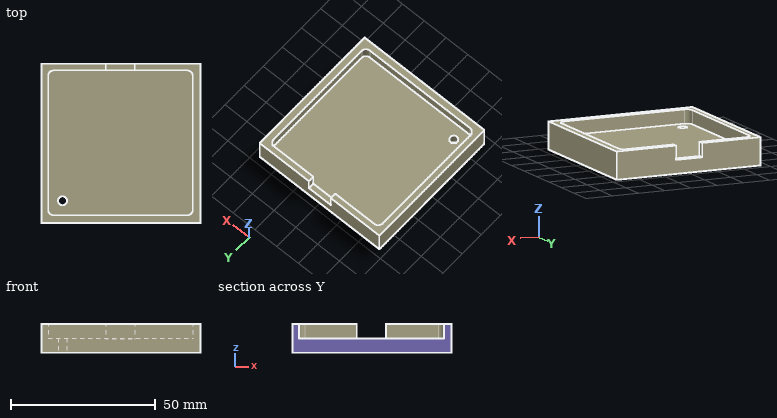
import cadquery as cq

side = 55.0
height = 10.0

wall = 2.3
opposite_wall = 2.7
pocket_depth = 5.0
corner_radius = 2.0
pocket_side = side - wall - opposite_wall
pocket_shift = (opposite_wall - wall) / 2
floor_height = height - pocket_depth

notch_width = 10.0
notch_step = 0.05
notch_depth = pocket_depth + notch_step

hole_diameter = 3.0
hole_inset = 5.0
hole_x = wall + hole_inset - side / 2
hole_y = opposite_wall + hole_inset - side / 2

tray = cq.Workplane("XY").box(side, side, height, centered=(True, True, False))

pocket = (
    cq.Workplane("XY")
    .workplane(offset=floor_height)
    .center(-pocket_shift, pocket_shift)
    .rect(pocket_side, pocket_side)
    .extrude(pocket_depth)
    .edges("|Z")
    .fillet(corner_radius)
)

notch = (
    cq.Workplane("XY")
    .workplane(offset=height - notch_depth)
    .center(-pocket_shift, side / 2 - wall / 2)
    .rect(notch_width, wall)
    .extrude(notch_depth)
)

hole = (
    cq.Workplane("XY")
    .center(hole_x, hole_y)
    .circle(hole_diameter / 2)
    .extrude(floor_height)
)

result = tray.cut(pocket).cut(notch).cut(hole)